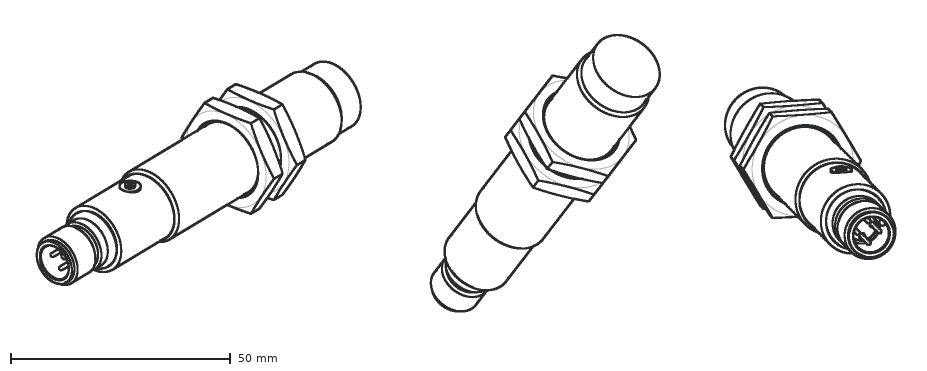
import cadquery as cq
import math


LENGTH = 97.65
THREAD_DIA = 18.0
FACE_DIA = 16.6
REAR_DIA = 16.4
FACE_STEP_Y = 91.0
THREAD_FRONT_Y = 90.1
THREAD_REAR_Y = 33.2
REAR_STEP_Y = 32.4
REAR_END_Y = 13.9

PLUG_DIA = 12.0
NECK_DIA = 10.5
DOME_DIA = 14.2
DOME_NECK_DIA = 13.9
DOME_CREST_Y = 13.5
COLLAR_REAR_Y = 11.7
COLLAR_FRONT_Y = 9.5
PLUG_REAR_Y = 8.1
PLUG_SHOULDER_Y = 7.4
PLUG_FRONT_Y = 1.2
EDGE_BEVEL = 0.3

MOUTH_DIA = 8.7
SOCKET_DIA = 8.3
FLOOR_DIA = 7.0
MOUTH_CHAMFER = 0.2
SOCKET_DEPTH = 7.8
FLOOR_DEPTH = 8.3
KEY_RADIUS = 0.8
KEY_OFFSET = 3.8
KEY_ANGLE = 45.0

PIN_COUNT = 4
PIN_DIA = 1.0
PIN_CIRCLE_RADIUS = 2.5
PIN_TIP_ROUND = 0.44
PIN_TIP_Y = 2.0
PIN_BASE_Y = 8.8
PIN_RECESS_DIA = 1.4

LAMP_Y = 26.6
PAD_DIA = 4.9
LAMP_DIA = 2.3
LAMP_RISE = 0.5
DIMPLE_DIA = 1.0
DIMPLE_DEPTH = 0.3

NUT_FLATS = 24.0
NUT_THICKNESS = 4.0
NUT_FACE_DIA = 23.8
NUT_CHAMFER_DROP = 0.5
NUT_BORE_CHAMFER = 0.6
NUT_FRONT_Y = (60.25, 68.3)


def disc(diameter, y_start, y_end):
    """Cylinder on the Y axis between two stations."""
    return cq.Workplane("XZ", origin=(0, y_start, 0)).circle(diameter / 2).extrude(y_start - y_end)


def around_axis(radius, degrees):
    """Offset from the Y axis at an angle measured from +X towards +Z."""
    angle = math.radians(degrees)
    return (radius * math.cos(angle), 0, radius * math.sin(angle))


def make_barrel():
    """Revolved outside of the sensor, from the plug to the sensing face."""
    dome_r = DOME_DIA / 2
    collar_r = PLUG_DIA / 2
    drop = dome_r - collar_r
    run = DOME_CREST_Y - COLLAR_REAR_Y
    arc_r = (drop**2 + run**2) / (2 * drop)
    half_angle = math.asin(run / arc_r) / 2
    dome_mid = (dome_r - arc_r * (1 - math.cos(half_angle)), DOME_CREST_Y - arc_r * math.sin(half_angle))
    return (
        cq.Workplane("XY")
        .moveTo(0, 0)
        .lineTo(NECK_DIA / 2, 0)
        .lineTo(NECK_DIA / 2, PLUG_FRONT_Y - EDGE_BEVEL)
        .lineTo(collar_r, PLUG_FRONT_Y)
        .lineTo(collar_r, PLUG_SHOULDER_Y)
        .lineTo(NECK_DIA / 2, PLUG_REAR_Y)
        .lineTo(NECK_DIA / 2, COLLAR_FRONT_Y - EDGE_BEVEL)
        .lineTo(collar_r, COLLAR_FRONT_Y)
        .lineTo(collar_r, COLLAR_REAR_Y)
        .threePointArc(dome_mid, (dome_r, DOME_CREST_Y))
        .lineTo(DOME_NECK_DIA / 2, REAR_END_Y)
        .lineTo(REAR_DIA / 2, REAR_END_Y)
        .lineTo(REAR_DIA / 2, REAR_STEP_Y)
        .lineTo(FACE_DIA / 2, REAR_STEP_Y)
        .lineTo(THREAD_DIA / 2, THREAD_REAR_Y)
        .lineTo(THREAD_DIA / 2, THREAD_FRONT_Y)
        .lineTo(FACE_DIA / 2, FACE_STEP_Y)
        .lineTo(FACE_DIA / 2, LENGTH)
        .lineTo(0, LENGTH)
        .close()
        .revolve(360, (0, 0, 0), (0, 1, 0))
    )


def make_socket():
    """Space inside the plug: chamfered mouth and stepped bore with a coding key left standing."""
    bore = (
        cq.Workplane("XY")
        .moveTo(0, 0)
        .lineTo(MOUTH_DIA / 2, 0)
        .lineTo(SOCKET_DIA / 2, MOUTH_CHAMFER)
        .lineTo(SOCKET_DIA / 2, SOCKET_DEPTH)
        .lineTo(FLOOR_DIA / 2, SOCKET_DEPTH)
        .lineTo(FLOOR_DIA / 2, FLOOR_DEPTH)
        .lineTo(0, FLOOR_DEPTH)
        .close()
        .revolve(360, (0, 0, 0), (0, 1, 0))
    )
    key = disc(2 * KEY_RADIUS, MOUTH_CHAMFER, FLOOR_DEPTH)
    return bore.cut(key.translate(around_axis(KEY_OFFSET, KEY_ANGLE)))


def make_pin():
    """Round-tipped contact standing in a recess of the socket floor."""
    return disc(PIN_DIA, PIN_TIP_Y, PIN_BASE_Y).faces("<Y").edges().fillet(PIN_TIP_ROUND)


def make_lamp():
    """Flat round pad with a dimpled lamp standing on it."""
    top_z = REAR_DIA / 2 + LAMP_RISE
    pad = cq.Workplane("XY").circle(PAD_DIA / 2).extrude(REAR_DIA / 2)
    lamp = cq.Workplane("XY").circle(LAMP_DIA / 2).extrude(top_z)
    dimple = cq.Workplane(
        cq.Solid.makeCone(0, DIMPLE_DIA / 2, DIMPLE_DEPTH, pnt=(0, 0, top_z - DIMPLE_DEPTH))
    )
    return pad.union(lamp).cut(dimple).translate((0, LAMP_Y, 0))


def make_sensor():
    """Barrel with lamp, hollow plug and contact pins as one solid."""
    sensor = make_barrel().union(make_lamp()).cut(make_socket())
    pin = make_pin()
    pin_recess = disc(PIN_RECESS_DIA, FLOOR_DEPTH, PIN_BASE_Y)
    for i in range(PIN_COUNT):
        offset = around_axis(PIN_CIRCLE_RADIUS, 360 / PIN_COUNT * i)
        sensor = sensor.cut(pin_recess.translate(offset)).union(pin.translate(offset))
    return sensor


def make_nut(front_y):
    """Hexagon nut with chamfered corners and a countersunk bore, its front face at front_y."""
    corner_dia = NUT_FLATS / math.cos(math.pi / 6)
    corner_r = corner_dia / 2
    bore_r = THREAD_DIA / 2
    hexagon = cq.Workplane("XZ").polygon(6, corner_dia).extrude(-NUT_THICKNESS)
    envelope = (
        cq.Workplane("XY")
        .moveTo(bore_r + NUT_BORE_CHAMFER, 0)
        .lineTo(NUT_FACE_DIA / 2, 0)
        .lineTo(corner_r, NUT_CHAMFER_DROP)
        .lineTo(corner_r, NUT_THICKNESS - NUT_CHAMFER_DROP)
        .lineTo(NUT_FACE_DIA / 2, NUT_THICKNESS)
        .lineTo(bore_r + NUT_BORE_CHAMFER, NUT_THICKNESS)
        .lineTo(bore_r, NUT_THICKNESS - NUT_BORE_CHAMFER)
        .lineTo(bore_r, NUT_BORE_CHAMFER)
        .close()
        .revolve(360, (0, 0, 0), (0, 1, 0))
    )
    return hexagon.intersect(envelope).translate((0, front_y, 0))


sensor = make_sensor()
nuts = [make_nut(front_y) for front_y in NUT_FRONT_Y]

result = cq.Compound.makeCompound([sensor.solids().val(), *[nut.solids().val() for nut in nuts]])